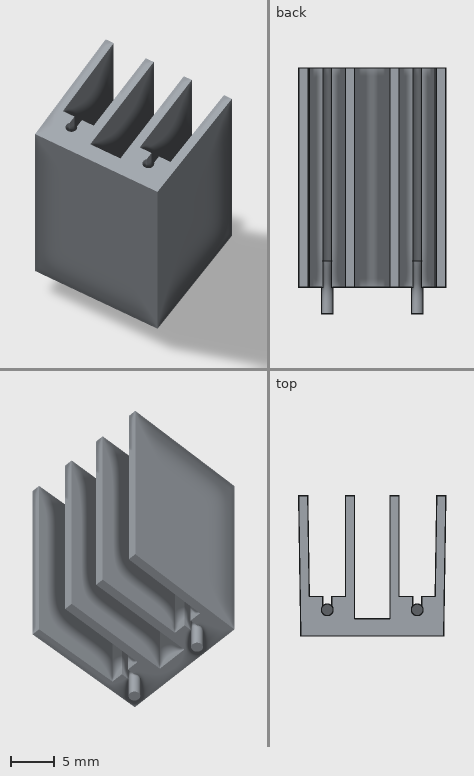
import cadquery as cq

total_height = 28.0
top_width = 16.8
base_width = 16.3
depth = 16.0

fin_thickness = 1.05
center_channel_width = 4.0
center_floor = 2.0
side_floor = 4.5

pin_diameter = 1.35
pin_x = 5.12
pin_y = 3.0
pin_protrusion = 3.0
pin_insertion = pin_protrusion
throat_width = 0.98

body_height = total_height - pin_protrusion
pin_radius = pin_diameter / 2
outer_fin_lean = (top_width - base_width) / 2 / depth
tip_inner_x = top_width / 2 - fin_thickness
floor_inner_x = tip_inner_x - outer_fin_lean * (depth - side_floor)
center_fin_inner_x = center_channel_width / 2
center_fin_outer_x = center_fin_inner_x + fin_thickness


def make_fin_body():
    """Extruded comb profile with four fins and leaning outer sides."""
    right_half = [
        (base_width / 2, 0),
        (top_width / 2, depth),
        (tip_inner_x, depth),
        (floor_inner_x, side_floor),
        (center_fin_outer_x, side_floor),
        (center_fin_outer_x, depth),
        (center_fin_inner_x, depth),
        (center_fin_inner_x, center_floor),
    ]
    left_half = [(-x, y) for x, y in reversed(right_half)]
    return cq.Workplane("XY").polyline(right_half + left_half).close().extrude(body_height)


def make_slotted_hole(x):
    """Full-height pin hole with a narrow throat into the side channel."""
    hole = cq.Workplane("XY").center(x, pin_y).circle(pin_radius).extrude(body_height)
    throat_length = side_floor - pin_y
    throat = (
        cq.Workplane("XY")
        .center(x, pin_y + throat_length / 2)
        .rect(throat_width, throat_length)
        .extrude(body_height)
    )
    return hole.union(throat)


def make_pin(x):
    """Round pin pressed into the lower end of its hole."""
    return (
        cq.Workplane("XY", origin=(x, pin_y, -pin_protrusion))
        .circle(pin_radius)
        .extrude(pin_protrusion + pin_insertion)
    )


heat_sink = make_fin_body()
pins = []
for x in (-pin_x, pin_x):
    heat_sink = heat_sink.cut(make_slotted_hole(x))
    pins.append(make_pin(x).val())

result = cq.Compound.makeCompound([heat_sink.val(), *pins])